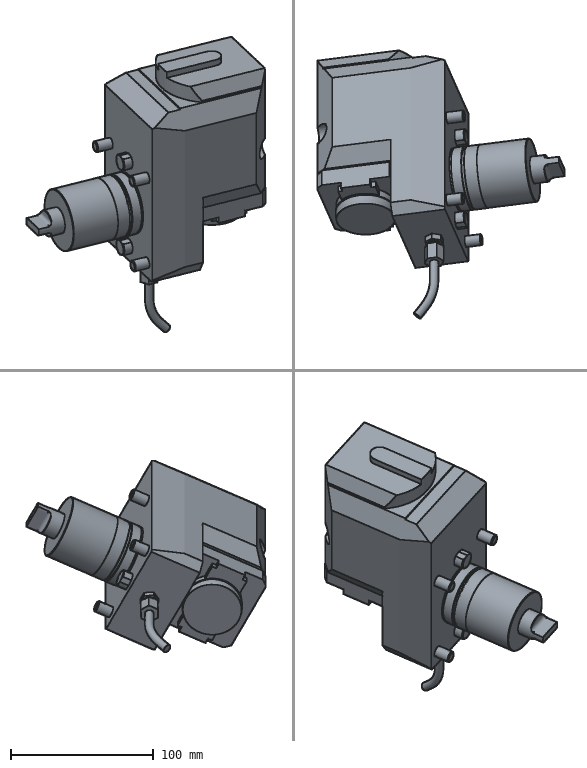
import cadquery as cq
import math


overall_length = 169.7
overall_height = 210.29

half_width = 40.0
slope_angle = 30.0
bevel_per_height = math.tan(math.radians(slope_angle))
housing_back = 94.0
shoulder_top = 71.4

block_front = 24.0
block_bottom = 1.65
block_top = 85.3
block_shoulder_bottom = 14.3
back_chamfer = 14.0

foot_depth = 38.0
foot_top = 84.6
foot_bottom = -46.0
foot_shoulder_bottom = -37.7
taper_depth = 23.6
front_half_width = 36.2
front_top_chamfer_depth = 14.6
front_top = 76.6

turret_y = 65.4
turret_radius = 39.3
top_plate_top = 96.6
top_plate_rim = 1.2
bottom_plate_bottom = -10.4
bottom_plate_half_width = 31.0
front_flat_half_width = 4.1

key_width = 13.5
key_top = 101.2
key_back = 72.0

ring_neck_diameter = 41.0
ring_diameter = 42.0
ring_neck_bottom = -16.0
ring_bottom = -23.1
ring_cone_top = -20.1
lug_bottom = -14.8
lug_length = 20.8
lug_step_length = 27.0
lug_step_half_width = 27.0

collar_end = -1.3
groove_start = -8.5
groove_end = -10.6
pilot_end = -19.9
sleeve_end = -55.0
shoulder_y = -65.0
spindle_end = housing_back - overall_length
collar_diameter = 44.6
pilot_diameter = 45.0
groove_diameter = 42.0
sleeve_diameter = 44.85
sleeve_chamfer = 0.4
shaft_diameter = 19.1
shaft_chamfer = 0.3
tang_start = shoulder_y + shaft_chamfer
tang_thickness = 5.8
tang_flat_width = 15.8
tang_bevel = 0.5
tang_root_radius = 2.5

screw_x = 28.0
fastener_z = 34.0
screw_diameter = 8.0
screw_chamfer = 0.7
upper_screw_length = 12.2
lower_screw_length = 11.5
screw_bore_diameter = 13.5
screw_bore_floor = foot_depth
pin_diameter = 12.2
pin_length = 7.0
pin_chamfer = 0.6
pin_ridge_height = 5.6
pin_flat_angle = 15.0

pipe_y = 16.15
stub_hex_corners = 13.0
stub_bottom = -50.3
neck_diameter = 8.15
neck_bottom = -52.2
flange_diameter = 9.8
flange_bottom = -53.3
nut_flats = 11.9
hex_half_angle = 30.0
nut_bottom = -65.8
pipe_diameter = 6.2
pipe_straight_end = -81.1
bend_radius = 30.0
bend_angle = 42.0
bend_heading = 10.0
pipe_end = key_top - overall_height


def bevel(height):
    """Inward run of a sloped side over the given height."""
    return height * bevel_per_height


def extrude_along_y(points, y_start, y_end):
    """Prism from an X-Z outline between two Y positions."""
    return cq.Workplane("XZ", origin=(0, y_start, 0)).polyline(points).close().extrude(y_start - y_end)


def extrude_along_z(points, z_start, z_end):
    """Prism from an X-Y outline between two Z positions."""
    return cq.Workplane("XY", origin=(0, 0, z_start)).polyline(points).close().extrude(z_end - z_start)


def box(x_range, y_range, z_range):
    """Axis-aligned box from its three ranges."""
    sizes = [end - start for start, end in (x_range, y_range, z_range)]
    corner = (x_range[0], y_range[0], z_range[0])
    return cq.Workplane("XY").box(*sizes, centered=False).translate(corner)


def cylinder_y(diameter, y_start, y_end, x=0.0, z=0.0):
    """Cylinder along Y; y_start is the larger Y."""
    return cq.Workplane("XZ", origin=(x, y_start, z)).circle(diameter / 2).extrude(y_start - y_end)


def cylinder_z(diameter, z_top, z_bottom, y):
    """Cylinder along Z; z_top is the larger Z."""
    return cq.Workplane("XY", origin=(0, y, z_bottom)).circle(diameter / 2).extrude(z_top - z_bottom)


def bevelled_section(top, bottom, shoulder_bottom):
    """Eight-sided X-Z outline with 30 degree bevels above and below the side walls."""
    top_half = half_width - bevel(top - shoulder_top)
    bottom_half = half_width - bevel(shoulder_bottom - bottom)
    right_side = [
        (bottom_half, bottom),
        (half_width, shoulder_bottom),
        (half_width, shoulder_top),
        (top_half, top),
    ]
    left_side = [(-x, z) for x, z in reversed(right_side)]
    return right_side + left_side


def back_chamfer_envelope():
    """Plan outline with the two 45 degree back chamfers, from foot bottom to key top."""
    plan = [
        (-half_width, 0),
        (half_width, 0),
        (half_width, housing_back - back_chamfer),
        (half_width - back_chamfer, housing_back),
        (back_chamfer - half_width, housing_back),
        (-half_width, housing_back - back_chamfer),
    ]
    return extrude_along_z(plan, foot_bottom, key_top)


def make_block():
    section = bevelled_section(block_top, block_bottom, block_shoulder_bottom)
    block = extrude_along_y(section, block_front, housing_back)
    return block.intersect(back_chamfer_envelope())


def make_foot():
    section = bevelled_section(foot_top, foot_bottom, foot_shoulder_bottom)
    foot = extrude_along_y(section, 0, foot_depth)
    plan = [
        (-front_half_width, 0),
        (front_half_width, 0),
        (half_width, taper_depth),
        (half_width, foot_depth),
        (-half_width, foot_depth),
        (-half_width, taper_depth),
    ]
    foot = foot.intersect(extrude_along_z(plan, foot_bottom, foot_top))
    top_front_corner = (
        cq.Workplane("YZ", origin=(-half_width, 0, 0))
        .polyline([(0, front_top), (0, foot_top), (front_top_chamfer_depth, foot_top)])
        .close()
        .extrude(2 * half_width)
    )
    return foot.cut(top_front_corner)


def make_top_plate():
    """Turret disc with bevelled sides and a small flat at the front, with its key."""
    rim_top = block_top + top_plate_rim
    rim_half = half_width - bevel(rim_top - shoulder_top)
    top_half = half_width - bevel(top_plate_top - shoulder_top)
    section = [
        (-rim_half, block_top),
        (rim_half, block_top),
        (rim_half, rim_top),
        (top_half, top_plate_top),
        (-top_half, top_plate_top),
        (-rim_half, rim_top),
    ]
    flat_y = turret_y - math.sqrt(turret_radius**2 - front_flat_half_width**2)
    disc = cylinder_z(2 * turret_radius, key_top, block_top, turret_y)
    disc = disc.intersect(box((-half_width, half_width), (flat_y, housing_back), (block_top, key_top)))
    plate = extrude_along_y(section, 0, housing_back).intersect(disc)
    plate = plate.intersect(back_chamfer_envelope())

    key_round_y = key_back - key_width / 2
    key = box((-key_width / 2, key_width / 2), (0, key_round_y), (top_plate_top, key_top))
    key = key.union(cylinder_z(key_width, key_top, top_plate_top, key_round_y))
    return plate.union(key.intersect(disc))


def make_bottom_plate():
    """Lower turret disc with flat sides, bayonet ring and side lugs."""
    half = bottom_plate_half_width
    disc = cylinder_z(2 * turret_radius, block_bottom, bottom_plate_bottom, turret_y)
    limits = box((-half, half), (foot_depth, housing_back), (bottom_plate_bottom, block_bottom))
    plate = disc.intersect(limits)

    neck = cylinder_z(ring_neck_diameter, bottom_plate_bottom, ring_neck_bottom, turret_y)
    ring = cylinder_z(ring_diameter, ring_neck_bottom, ring_cone_top, turret_y)
    cone = cq.Solid.makeCone(
        ring_neck_diameter / 2,
        ring_diameter / 2,
        ring_cone_top - ring_bottom,
        cq.Vector(0, turret_y, ring_bottom),
    )
    plate = plate.union(neck).union(ring).union(cq.Workplane(cone))
    for length, reach in ((lug_length, half), (lug_step_length, lug_step_half_width)):
        y_range = (turret_y - length / 2, turret_y + length / 2)
        plate = plate.union(box((-reach, reach), y_range, (lug_bottom, bottom_plate_bottom)))
    return plate


def make_tang_envelope():
    """Shaft end: flat tang with bevelled edges and rounded roots on both sides."""
    half = tang_thickness / 2
    root_y = shoulder_y - tang_root_radius
    radius = shaft_diameter / 2
    envelope = (
        cq.Workplane("YZ", origin=(-radius, 0, 0))
        .moveTo(tang_start, half + tang_root_radius)
        .lineTo(shoulder_y, half + tang_root_radius)
        .radiusArc((root_y, half), tang_root_radius)
        .lineTo(spindle_end, half)
        .lineTo(spindle_end, -half)
        .lineTo(root_y, -half)
        .radiusArc((shoulder_y, -half - tang_root_radius), tang_root_radius)
        .lineTo(tang_start, -half - tang_root_radius)
        .close()
        .extrude(shaft_diameter)
    )
    flat_half = tang_flat_width / 2
    for x_sign in (-1, 1):
        for z_sign in (-1, 1):
            edge = [
                (x_sign * flat_half, z_sign * half),
                (x_sign * flat_half, z_sign * radius),
                (x_sign * radius, z_sign * radius),
                (x_sign * radius, z_sign * (half - tang_bevel)),
            ]
            envelope = envelope.cut(extrude_along_y(edge, root_y, spindle_end))
    return envelope


def make_spindle():
    spindle = cylinder_y(collar_diameter, 0, collar_end)
    spindle = spindle.union(cylinder_y(pilot_diameter, collar_end, groove_start))
    spindle = spindle.union(cylinder_y(groove_diameter, groove_start, groove_end))
    spindle = spindle.union(cylinder_y(pilot_diameter, groove_end, pilot_end))
    sleeve = cylinder_y(sleeve_diameter, pilot_end, sleeve_end)
    spindle = spindle.union(sleeve.faces("<Y").edges().chamfer(sleeve_chamfer))
    shaft = cylinder_y(shaft_diameter, sleeve_end, shoulder_y).faces("<Y").edges().chamfer(shaft_chamfer)
    tang = cylinder_y(shaft_diameter, tang_start, spindle_end)
    return spindle.union(shaft).union(tang.intersect(make_tang_envelope()))


def make_screw_end(x, z, length):
    end = cylinder_y(screw_diameter, screw_bore_floor, -length, x, z)
    return end.faces("<Y").edges().chamfer(screw_chamfer)


def make_locating_pin(z):
    """Chamfered round pin relieved by two flats above and two below, meeting in ridges."""
    pin = cylinder_y(pin_diameter, 0, -pin_length, 0, z).faces("<Y").edges().chamfer(pin_chamfer)
    radius = pin_diameter / 2
    shoulder = pin_ridge_height - radius * math.tan(math.radians(pin_flat_angle))
    relief = [
        (-radius, z - shoulder),
        (0, z - pin_ridge_height),
        (radius, z - shoulder),
        (radius, z + shoulder),
        (0, z + pin_ridge_height),
        (-radius, z + shoulder),
    ]
    return pin.intersect(extrude_along_y(relief, 0, -pin_length))


def hexagon_z(corner_diameter, turn, z_top, z_bottom):
    """Hexagonal prism on the coolant pipe axis; turn = 0 puts a corner on X."""
    prism = cq.Workplane("XY").polygon(6, corner_diameter).extrude(z_top - z_bottom)
    return prism.rotate((0, 0, 0), (0, 0, 1), turn).translate((0, pipe_y, z_bottom))


def make_coolant_pipe():
    stub = hexagon_z(stub_hex_corners, 0, foot_bottom, stub_bottom)
    neck = cylinder_z(neck_diameter, stub_bottom, neck_bottom, pipe_y)
    flange = cylinder_z(flange_diameter, neck_bottom, flange_bottom, pipe_y)
    nut_corners = nut_flats / math.cos(math.radians(hex_half_angle))
    nut = hexagon_z(nut_corners, hex_half_angle, flange_bottom, nut_bottom)

    angle = math.radians(bend_angle)
    bend_out = bend_radius * (1 - math.cos(angle))
    bend_z = pipe_straight_end - bend_radius * math.sin(angle)
    tip_z = pipe_end + pipe_diameter / 2 * math.sin(angle)
    tip_out = bend_out + (bend_z - tip_z) * math.tan(angle)
    half = angle / 2
    mid_out = bend_radius * (1 - math.cos(half))
    mid_z = pipe_straight_end - bend_radius * math.sin(half)
    path = (
        cq.Workplane("YZ")
        .moveTo(0, nut_bottom)
        .lineTo(0, pipe_straight_end)
        .threePointArc((mid_out, mid_z), (bend_out, bend_z))
        .lineTo(tip_out, tip_z)
    )
    pipe = cq.Workplane("XY", origin=(0, 0, nut_bottom)).circle(pipe_diameter / 2).sweep(path)
    pipe = pipe.rotate((0, 0, 0), (0, 0, 1), -bend_heading).translate((0, pipe_y, 0))
    return stub.union(neck).union(flange).union(nut).union(pipe)


result = make_block().union(make_foot()).union(make_top_plate()).union(make_bottom_plate())
for side in (-1, 1):
    bore = cylinder_y(screw_bore_diameter, housing_back, screw_bore_floor, side * screw_x, fastener_z)
    result = result.cut(bore)
    result = result.union(make_screw_end(side * screw_x, fastener_z, upper_screw_length))
    result = result.union(make_screw_end(side * screw_x, -fastener_z, lower_screw_length))
for level in (-1, 1):
    result = result.union(make_locating_pin(level * fastener_z))
result = result.union(make_spindle()).union(make_coolant_pipe())